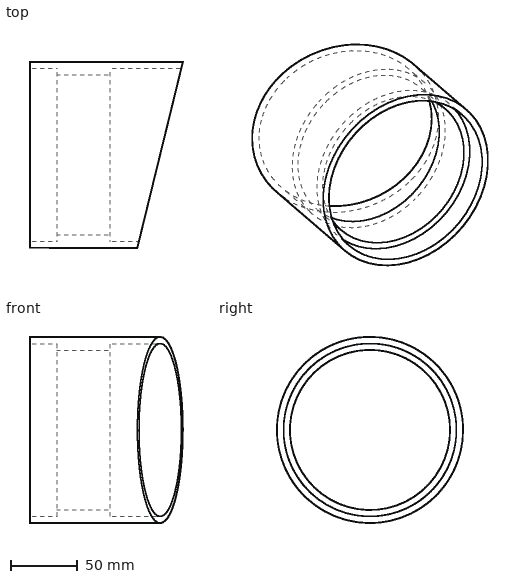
import cadquery as cq

outer_diameter = 140.0
wall = 5.0
step_height = 4.9
long_side = 115.0
short_side = 80.6
socket_depth = 20.0
ring_width = 40.0

outer_radius = outer_diameter / 2
socket_radius = outer_radius - wall
ring_bore_radius = socket_radius - step_height


def cylinder_along_x(radius, start, length):
    return cq.Workplane("YZ").workplane(offset=start).circle(radius).extrude(length)


envelope = (
    cq.Workplane("XY")
    .polyline([
        (0, -outer_radius),
        (short_side, -outer_radius),
        (long_side, outer_radius),
        (0, outer_radius),
    ])
    .close()
    .extrude(outer_radius, both=True)
)
body = cylinder_along_x(outer_radius, 0, long_side).intersect(envelope)

far_bore_start = socket_depth + ring_width
result = (
    body
    .cut(cylinder_along_x(socket_radius, 0, socket_depth))
    .cut(cylinder_along_x(ring_bore_radius, socket_depth, ring_width))
    .cut(cylinder_along_x(socket_radius, far_bore_start, long_side - far_bore_start))
)